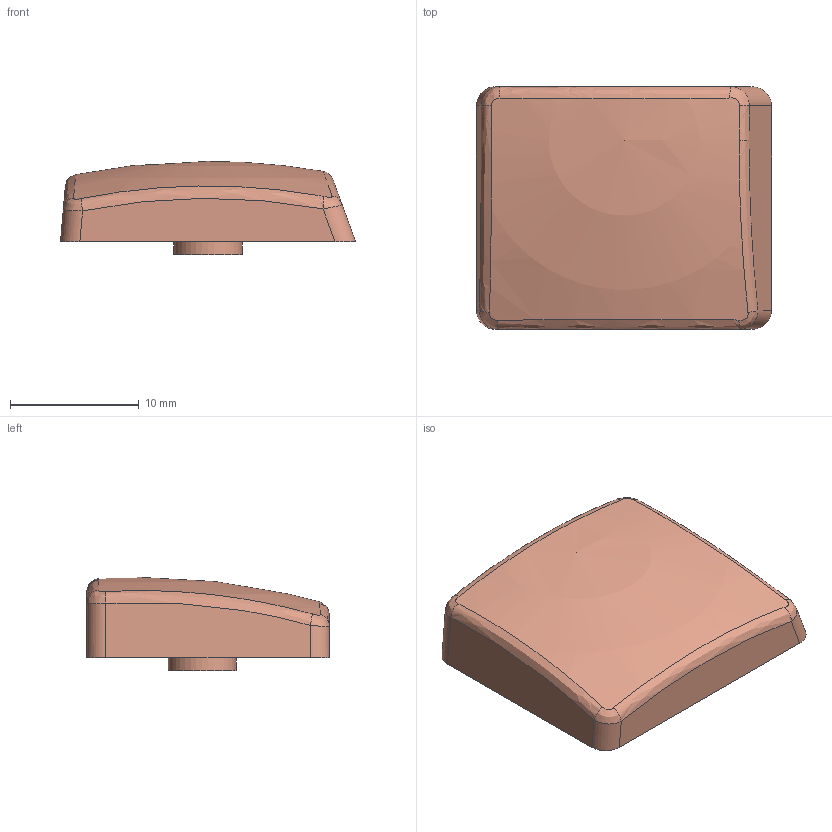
import cadquery as cq
import math

BASE_LENGTH = 22.94
BASE_WIDTH = 18.88
CROWN_HEIGHT = 6.25
LEFT_DRAFT = 5.0
RIGHT_DRAFT = 20.0

DOME_RADIUS = 52.0
DOME_Y = 5.25

CORNER_RADIUS = 1.5
TOP_EDGE_RADIUS = 1.0

STEM_DIAMETER = 5.3
STEM_LENGTH = 1.0
STEM_Y = 0.44

TRIM_ALLOWANCE = 2.0
BLANK_HEIGHT = CROWN_HEIGHT + TRIM_ALLOWANCE


def make_blank():
    """Prism with vertical Y walls, leaning X walls and rounded upright corners."""
    half_length = BASE_LENGTH / 2
    left_lean = BLANK_HEIGHT * math.tan(math.radians(LEFT_DRAFT))
    right_lean = BLANK_HEIGHT * math.tan(math.radians(RIGHT_DRAFT))
    outline = [
        (-half_length, 0),
        (half_length, 0),
        (half_length - right_lean, BLANK_HEIGHT),
        (-half_length + left_lean, BLANK_HEIGHT),
    ]
    blank = cq.Workplane("XZ").polyline(outline).close().extrude(BASE_WIDTH / 2, both=True)
    uprights = blank.edges("not #Z")
    return uprights.fillet(CORNER_RADIUS)


def make_dome():
    """Sphere that trims the top of the blank."""
    return cq.Workplane("XY").sphere(DOME_RADIUS).translate((0, DOME_Y, CROWN_HEIGHT - DOME_RADIUS))


def make_stem():
    """Round stem hanging below the base."""
    return cq.Workplane("XY").center(0, STEM_Y).circle(STEM_DIAMETER / 2).extrude(-STEM_LENGTH)


body = make_blank().intersect(make_dome())
body = body.faces("%SPHERE").edges().fillet(TOP_EDGE_RADIUS)
result = body.union(make_stem())